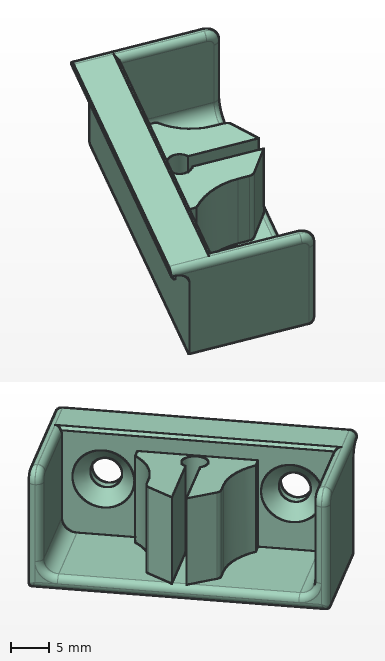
import cadquery as cq
import math

length = 40.0
depth = 20.0
height = 17.0

wall = 2.0
floor_thickness = 2.0
front_face_y = 2.5
front_wall_back_y = 6.0
lip_thickness = 1.0
lip_fillet = 2.0
wall_corner_radius = 2.0
cavity_fillet = 2.0

half_gap = 0.005
edge_round = wall / 2 - half_gap
bottom_round = 0.5
rim_chamfer = 0.5

hole_diameter = 4.2
hole_spacing = 25.0
hole_z = 10.0
countersink_depth = 2.0

clip_top_z = 14.4
clip_half_base = 8.0
clip_half_neck = 4.95
clip_flank_front_y = 7.6
clip_flank_back_y = 14.4
clip_shoulder_y = 16.5
clip_shoulder_radius = 1.0
clip_tip_y = 19.3
slot_width = 1.9
relief_diameter = 3.5
relief_y = 8.05

mid_x = length / 2
tolerance = 0.005


def starts_on_back_or_top(edge):
    """True for edges on the back face, the top face or the rounded corner between them."""
    box = edge.BoundingBox()
    behind = box.ymin > depth - wall_corner_radius - tolerance
    on_top = box.zmin > height - tolerance
    return behind or on_top


def is_outer_rim(edge):
    """Outer rim of the side walls, plus the lower back edge of the floor."""
    box = edge.BoundingBox()
    on_side = box.xmax < tolerance or box.xmin > length - tolerance
    floor_edge = box.zmax < tolerance and box.ymin > depth - tolerance
    return floor_edge or (on_side and starts_on_back_or_top(edge))


def is_cavity_rim(edge):
    """U-shaped rim of the cavity, without its straight edge along the front wall."""
    box = edge.BoundingBox()
    between_walls = box.xmin > wall - tolerance and box.xmax < length - wall + tolerance
    above_floor = box.zmin > floor_thickness - tolerance
    behind_front_wall = box.ymax > front_wall_back_y + tolerance
    return between_walls and above_floor and behind_front_wall and starts_on_back_or_top(edge)


def fillet_where(body, condition, radius):
    """Fillet every edge of the body that meets the condition."""
    chosen = [edge for edge in body.edges().vals() if condition(edge)]
    return body.newObject(chosen).fillet(radius)


def make_outer_body():
    """Side profile with lip and rounded upper back corner, extruded along X."""
    lip_underside = height - lip_thickness
    arc_mid = lip_fillet * (1 - math.sqrt(0.5))
    return (
        cq.Workplane("YZ")
        .moveTo(front_face_y, 0)
        .lineTo(depth, 0)
        .lineTo(depth, height - wall_corner_radius)
        .radiusArc((depth - wall_corner_radius, height), -wall_corner_radius)
        .lineTo(0, height)
        .lineTo(0, lip_underside)
        .lineTo(front_face_y - lip_fillet, lip_underside)
        .threePointArc(
            (front_face_y - arc_mid, lip_underside - arc_mid),
            (front_face_y, lip_underside - lip_fillet),
        )
        .close()
        .extrude(length)
    )


def make_cavity():
    """Space between the side walls, open at the top and back."""
    return (
        cq.Workplane("XY")
        .box(length - 2 * wall, depth, height, centered=False)
        .edges("|Y and <Z")
        .fillet(cavity_fillet)
        .translate((wall, front_wall_back_y, floor_thickness))
    )


def make_clip():
    """Bell-shaped clip with a central slot ending in a round relief."""
    half_slot = slot_width / 2
    run = clip_half_base - clip_half_neck
    rise = clip_flank_back_y - clip_flank_front_y
    flank_radius = (run**2 + rise**2) / (2 * run)
    base_z = floor_thickness / 2
    start_y = front_wall_back_y - wall / 2
    clip = (
        cq.Workplane("XY", origin=(mid_x, 0, base_z))
        .moveTo(-clip_half_base, start_y)
        .lineTo(-clip_half_base, clip_flank_front_y)
        .radiusArc((-clip_half_neck, clip_flank_back_y), -flank_radius)
        .lineTo(-clip_half_neck, clip_shoulder_y)
        .lineTo(-half_slot, clip_tip_y)
        .lineTo(half_slot, clip_tip_y)
        .lineTo(clip_half_neck, clip_shoulder_y)
        .lineTo(clip_half_neck, clip_flank_back_y)
        .radiusArc((clip_half_base, clip_flank_front_y), -flank_radius)
        .lineTo(clip_half_base, start_y)
        .close()
        .extrude(clip_top_z - base_z)
    )
    shoulders = cq.selectors.BoxSelector(
        (mid_x - clip_half_neck - tolerance, clip_shoulder_y - tolerance, 0),
        (mid_x + clip_half_neck + tolerance, clip_shoulder_y + tolerance, clip_top_z),
    )
    clip = clip.edges("|Z").edges(shoulders).fillet(clip_shoulder_radius)
    slot = (
        cq.Workplane("XY", origin=(mid_x, 0, base_z))
        .moveTo(-half_slot, relief_y)
        .lineTo(half_slot, relief_y)
        .lineTo(half_slot, depth)
        .lineTo(-half_slot, depth)
        .close()
        .extrude(clip_top_z)
    )
    relief = (
        cq.Workplane("XY", origin=(mid_x, relief_y, base_z))
        .circle(relief_diameter / 2)
        .extrude(clip_top_z)
    )
    return clip.cut(slot).cut(relief)


def make_screw_hole(x):
    """Cutter for one hole through the front wall, countersunk from inside the tray."""
    radius = hole_diameter / 2
    center = cq.Vector(x, front_wall_back_y, hole_z)
    toward_front = cq.Vector(0, -1, 0)
    shank = cq.Solid.makeCylinder(radius, front_wall_back_y, center, toward_front)
    cone = cq.Solid.makeCone(
        radius + countersink_depth, radius, countersink_depth, center, toward_front
    )
    return shank.fuse(cone)


tray = fillet_where(make_outer_body(), is_outer_rim, edge_round)
tray = tray.faces("<Z").edges("|Y").fillet(bottom_round)
tray = tray.cut(make_cavity())
tray = fillet_where(tray, is_cavity_rim, edge_round)

front_rim = cq.selectors.BoxSelector(
    (wall, front_wall_back_y - tolerance, height - tolerance),
    (length - wall, front_wall_back_y + tolerance, height + tolerance),
)
tray = tray.edges(front_rim).chamfer(rim_chamfer)

for side in (-1, 1):
    tray = tray.cut(cq.Workplane(make_screw_hole(mid_x + side * hole_spacing / 2)))

result = tray.union(make_clip())